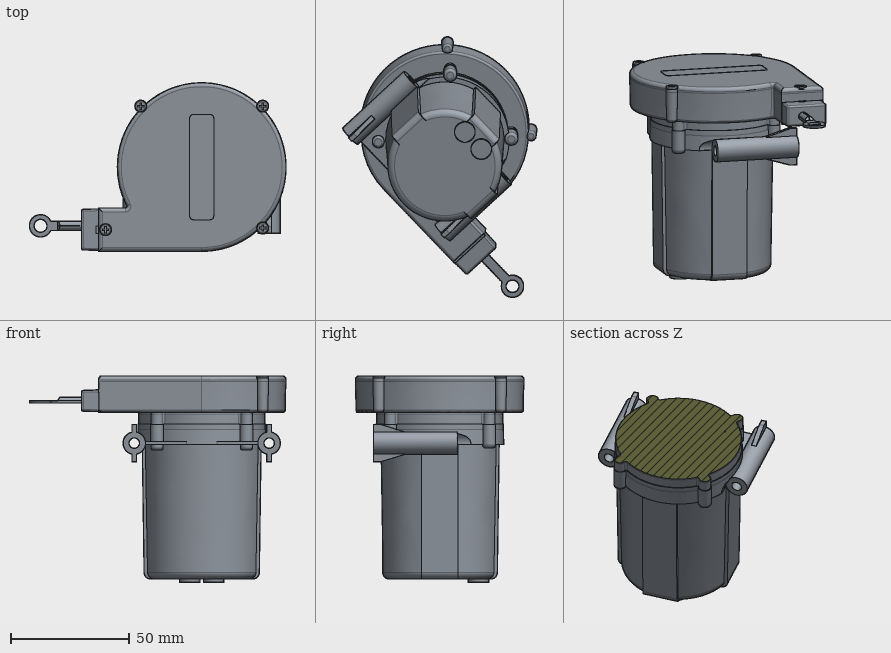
import cadquery as cq
import math


can_top = 56.9
band_bottom = 63.4
band_top = 65.7
housing_bottom = 70.6
lid_bottom = 83.7
housing_top = 86.06

can_top_radius = 50.09 / 2
can_bottom_radius = 48.26 / 2
can_floor_fillet = 2.9
pad_width = 15.24
pad_top_reach = 25.2
pad_bottom_reach = 24.4
foot_diameter = 8.71
foot_height = 1.39
foot_half_spacing = 5.07
foot_y = 16.4

collar_top_radius = 26.75
band_radius = 27.0
collar_bottom_radius = 27.2
collar_top_fillet = 0.8
boss_blend_fillet = 0.8

boss_x = 18.9
boss_y = 20.9
boss_step_z = 65.45
upper_boss_diameter = 5.08
lower_boss_diameter = 5.58
front_tip_diameter = 5.08
front_tip_bottom = 54.6
front_tip_fillet = 0.9
rear_boss_bottom = 55.5
rear_boss_fillet = 1.3

ear_x = 28.55
ear_z = 57.55
ear_outer_diameter = 9.53
ear_bore_diameter = 4.32
ear_front_y = -28.1
ear_rear_y = 7.5
bore_clearance_end = 14.5
fin_thickness = 2.1
fin_reach = 7.9
fin_flat_end_y = -25.1
fin_root_y = -14.8
web_thickness = 1.37
web_front_y = -26.4
web_rear_y = -10.0
web_inner_x = 6.05

housing_radius = 71.51 / 2
outlet_end_x = -43.7
outlet_inner_y = -17.3
notch_fillet = 0.6
body_draft = 1.5
lid_fillet = 1.7
body_fillet = 1.0
label_width = 10.2
label_length = 44.6
label_corner = 1.6
label_depth = 0.1

lug_offset = 25.8
lug_positions = [(-lug_offset, lug_offset), (lug_offset, lug_offset), (lug_offset, -lug_offset)]
outlet_screw = (-40.7, -26.5)
lug_top_diameter = 5.08
lug_bottom_diameter = 4.32
lug_fillet = body_fillet
head_diameter = 4.78
head_height = 1.0
head_fillet = 0.45
head_pocket_diameter = 5.08
cross_span = 2.69
cross_arm_width = 0.7
cross_depth = 0.7

connector_end_x = -50.9
connector_y = (-35.3, -17.65)
connector_z = (70.85, 80.1)
connector_draft = 1.5
connector_fillet = 0.8
root_plate_top = 78.5
root_plate_thickness = 1.0
latch_length = 1.0
latch_width = 3.0
latch_height = 0.2

terminal_y = -24.85
terminal_bottom = 74.5
terminal_thickness = 1.0
ring_outer_diameter = 9.53
ring_hole_diameter = 5.38
barrel_diameter = 4.01
barrel_end_x = -61.1
barrel_shoulder_x = -60.0
seam_width = 0.3
seam_end_x = -51.8

overlap = 0.5
overall_length = 108.72
ring_x = housing_radius - overall_length + ring_outer_diameter / 2


def box_between(x_range, y_range, z_range):
    size = [high - low for low, high in (x_range, y_range, z_range)]
    corner = (x_range[0], y_range[0], z_range[0])
    return cq.Workplane("XY").box(*size, centered=False).translate(corner)


def turned(profile, x=0, y=0):
    """Solid of revolution about a vertical axis through (x, y); profile holds (radius, z)."""
    solid = cq.Workplane("XZ").polyline(profile).close().revolve(360, (0, 0, 0), (0, 1, 0))
    return solid.translate((x, y, 0))


def frustum(x, y, bottom, top, bottom_diameter, top_diameter):
    return turned([(0, bottom), (bottom_diameter / 2, bottom), (top_diameter / 2, top), (0, top)], x, y)


def can_pad(angle):
    """Tapered slab running from the axis out to a flat face, turned by angle about the axis."""
    slope = (pad_top_reach - pad_bottom_reach) / can_top
    fillet = can_floor_fillet
    side = pad_bottom_reach + slope * fillet
    diagonal = fillet * (1 - math.sqrt(0.5))
    slab = (
        cq.Workplane("XZ")
        .moveTo(0, 0)
        .lineTo(side - fillet, 0)
        .threePointArc((side - diagonal, diagonal), (side, fillet))
        .lineTo(pad_top_reach, can_top)
        .lineTo(0, can_top)
        .close()
        .extrude(pad_width / 2, both=True)
    )
    return slab.rotate((0, 0, 0), (0, 0, 1), angle)


def make_can():
    can = frustum(0, 0, 0, can_top, 2 * can_bottom_radius, 2 * can_top_radius)
    can = can.faces("<Z").edges().fillet(can_floor_fillet)
    for angle in (0, 90, 180):
        can = can.union(can_pad(angle))
    feet = (
        cq.Workplane("XY")
        .workplane(offset=overlap)
        .pushPoints([(-foot_half_spacing, foot_y), (foot_half_spacing, foot_y)])
        .circle(foot_diameter / 2)
        .extrude(-foot_height - overlap)
    )
    return can.union(feet)


def upper_collar():
    """Upper drum with the four boss tops blended into it."""
    height = housing_bottom - boss_step_z
    base = cq.Workplane("XY").workplane(offset=boss_step_z)
    drum = base.circle(collar_top_radius).extrude(height)
    boss_tops = base.rect(2 * boss_x, 2 * boss_y, forConstruction=True).vertices()
    drum = drum.union(boss_tops.circle(upper_boss_diameter / 2).extrude(height))
    center_distance = math.hypot(boss_x, boss_y)
    boss_radius = upper_boss_diameter / 2
    along = (center_distance**2 + collar_top_radius**2 - boss_radius**2) / (2 * center_distance)
    spread = math.acos(along / collar_top_radius)
    boss_angle = math.atan2(boss_y, boss_x)
    middle_z = boss_step_z + height / 2
    for mirrored_x in (-1, 1):
        for mirrored_y in (-1, 1):
            for angle in (boss_angle - spread, boss_angle + spread):
                corner = (
                    mirrored_x * collar_top_radius * math.cos(angle),
                    mirrored_y * collar_top_radius * math.sin(angle),
                    middle_z,
                )
                drum = drum.edges(cq.selectors.NearestToPointSelector(corner)).fillet(boss_blend_fillet)
    return drum.faces(">Z").edges().fillet(collar_top_fillet)


def lower_collar():
    profile = [
        (0, can_top),
        (collar_bottom_radius, can_top),
        (band_radius, band_bottom),
        (band_radius, band_top),
        (0, band_top),
    ]
    return turned(profile)


def lower_boss(x, y):
    """Lower shank of a screw boss; the front pair ends in a narrower tip below the collar."""
    radius = lower_boss_diameter / 2
    if y > 0:
        end_fillet = rear_boss_fillet
        end = [(0, rear_boss_bottom), (radius, rear_boss_bottom)]
    else:
        tip_radius = front_tip_diameter / 2
        end_fillet = front_tip_fillet
        end = [
            (0, front_tip_bottom),
            (tip_radius, front_tip_bottom),
            (tip_radius, can_top),
            (radius, can_top),
        ]
    shank = [(radius, boss_step_z), (0, boss_step_z)]
    return turned(end + shank, x, y).faces("<Z").edges().fillet(end_fillet)


def ear_cylinder(side, diameter, front_y, rear_y):
    return (
        cq.Workplane("XZ", origin=(side * ear_x, front_y, ear_z))
        .circle(diameter / 2)
        .extrude(front_y - rear_y)
    )


def ear_body(side):
    """Mounting tube with fins above and below and a web to the collar."""
    tube = ear_cylinder(side, ear_outer_diameter, ear_front_y, ear_rear_y)
    tube_radius = ear_outer_diameter / 2
    fin_profile = [
        (ear_front_y, ear_z - fin_reach),
        (fin_flat_end_y, ear_z - fin_reach),
        (fin_root_y, ear_z - tube_radius),
        (fin_root_y, ear_z + tube_radius),
        (fin_flat_end_y, ear_z + fin_reach),
        (ear_front_y, ear_z + fin_reach),
    ]
    fins = cq.Workplane("YZ").polyline(fin_profile).close().extrude(fin_thickness / 2, both=True)
    x_range = sorted((side * ear_x, side * web_inner_x))
    web = box_between(x_range, (web_front_y, web_rear_y), (can_top, can_top + web_thickness))
    return tube.union(fins.translate((side * ear_x, 0, 0))).union(web)


def make_motor():
    motor = lower_collar()
    for x in (-boss_x, boss_x):
        for y in (-boss_y, boss_y):
            motor = motor.union(lower_boss(x, y))
    motor = motor.union(upper_collar()).union(make_can())
    for side in (-1, 1):
        motor = motor.cut(ear_cylinder(side, ear_outer_diameter, ear_rear_y, bore_clearance_end))
        motor = motor.union(ear_body(side))
        motor = motor.cut(ear_cylinder(side, ear_bore_diameter, ear_front_y, bore_clearance_end))
    return motor


def housing_outline(height):
    """Closed scroll outline: a circle with a straight tangential outlet toward -X."""
    arc_y = outlet_inner_y + notch_fillet
    arc_x = -math.sqrt((housing_radius + notch_fillet) ** 2 - arc_y**2)
    shrink = housing_radius / (housing_radius + notch_fillet)
    circle_end = (arc_x * shrink, arc_y * shrink)
    middle_angle = (math.atan2(-arc_y, -arc_x) - math.pi / 2) / 2
    arc_middle = (
        arc_x + notch_fillet * math.cos(middle_angle),
        arc_y + notch_fillet * math.sin(middle_angle),
    )
    return (
        cq.Workplane("XY")
        .workplane(offset=height)
        .moveTo(arc_x, outlet_inner_y)
        .lineTo(outlet_end_x, outlet_inner_y)
        .lineTo(outlet_end_x, -housing_radius)
        .lineTo(0, -housing_radius)
        .threePointArc((housing_radius, 0), (0, housing_radius))
        .threePointArc((-housing_radius, 0), circle_end)
        .threePointArc(arc_middle, (arc_x, outlet_inner_y))
        .close()
    )


def lug(x, y):
    """Lid screw column, straight beside the lid and tapered beside the body."""
    profile = [
        (0, housing_bottom),
        (lug_bottom_diameter / 2, housing_bottom),
        (lug_top_diameter / 2, lid_bottom),
        (lug_top_diameter / 2, housing_top - head_height),
        (0, housing_top - head_height),
    ]
    column = turned(profile, x, y)
    return column.faces("<Z").edges().fillet(lug_fillet)


def screw_head(x, y):
    bottom = housing_top - head_height
    head = frustum(x, y, bottom - overlap, housing_top, head_diameter, head_diameter)
    head = head.faces(">Z").edges().fillet(head_fillet)
    cross = (
        cq.Workplane("XY", origin=(x, y, housing_top - cross_depth))
        .rect(cross_span, cross_arm_width)
        .extrude(cross_depth)
    )
    return head.cut(cross).cut(cross.rotate((x, y, 0), (x, y, 1), 90))


def make_housing():
    lid = housing_outline(lid_bottom).extrude(housing_top - lid_bottom)
    lid = lid.faces(">Z").edges().fillet(lid_fillet)
    body = housing_outline(lid_bottom).extrude(housing_bottom - lid_bottom, taper=body_draft)
    body = body.faces("<Z").edges().fillet(body_fillet)
    housing = lid.union(body)
    for x, y in lug_positions:
        housing = housing.union(lug(x, y))
    for x, y in lug_positions + [outlet_screw]:
        pocket = frustum(
            x, y, housing_top - head_height, housing_top, head_pocket_diameter, head_pocket_diameter
        )
        housing = housing.cut(pocket).union(screw_head(x, y))
    label = (
        cq.Workplane("XY")
        .workplane(offset=housing_top - label_depth)
        .rect(label_width, label_length)
        .extrude(label_depth)
        .edges("|Z")
        .fillet(label_corner)
    )
    return housing.cut(label)


def make_connector():
    center_y = sum(connector_y) / 2
    center_z = sum(connector_z) / 2
    block = (
        cq.Workplane("YZ", origin=(outlet_end_x, center_y, center_z))
        .rect(connector_y[1] - connector_y[0], connector_z[1] - connector_z[0])
        .extrude(connector_end_x - outlet_end_x, taper=connector_draft)
    )
    block = block.edges("not >X").fillet(connector_fillet)
    root_x = (outlet_end_x, outlet_end_x + root_plate_thickness)
    root_plate = box_between(root_x, connector_y, (housing_bottom, root_plate_top))
    root_block = box_between(root_x, connector_y, connector_z)
    latch_y = (outlet_screw[1] - latch_width / 2, outlet_screw[1] + latch_width / 2)
    latch = box_between(
        (outlet_end_x - latch_length, root_x[1]),
        latch_y,
        (connector_z[1] - overlap, connector_z[1] + latch_height),
    )
    return block.union(root_plate).union(root_block).union(latch)


def make_terminal():
    inside_x = connector_end_x + overlap
    plate = cq.Workplane("XY", origin=(ring_x, terminal_y, terminal_bottom))
    ring = plate.circle(ring_outer_diameter / 2).extrude(terminal_thickness)
    hole = plate.circle(ring_hole_diameter / 2).extrude(terminal_thickness)
    plate_top = terminal_bottom + terminal_thickness
    neck_y = (terminal_y - barrel_diameter / 2, terminal_y + barrel_diameter / 2)
    neck = box_between((ring_x, inside_x), neck_y, (terminal_bottom, plate_top))

    barrel_axis_z = terminal_bottom + terminal_thickness / 2
    barrel_top = barrel_axis_z + barrel_diameter / 2
    barrel = (
        cq.Workplane("YZ", origin=(barrel_end_x, terminal_y, barrel_axis_z))
        .circle(barrel_diameter / 2)
        .extrude(inside_x - barrel_end_x)
    )
    side_profile = [
        (barrel_end_x, terminal_bottom),
        (barrel_end_x, plate_top),
        (barrel_shoulder_x, barrel_top),
        (inside_x, barrel_top),
        (inside_x, terminal_bottom),
    ]
    envelope = (
        cq.Workplane("XZ", origin=(0, terminal_y, 0))
        .polyline(side_profile)
        .close()
        .extrude(barrel_diameter / 2, both=True)
    )
    seam_y = (terminal_y - seam_width / 2, terminal_y + seam_width / 2)
    seam = box_between((barrel_end_x, seam_end_x), seam_y, (plate_top, barrel_top))
    barrel = barrel.intersect(envelope).cut(seam)
    return ring.union(neck).cut(hole).union(barrel)


result = make_motor().union(make_housing()).union(make_connector()).union(make_terminal())